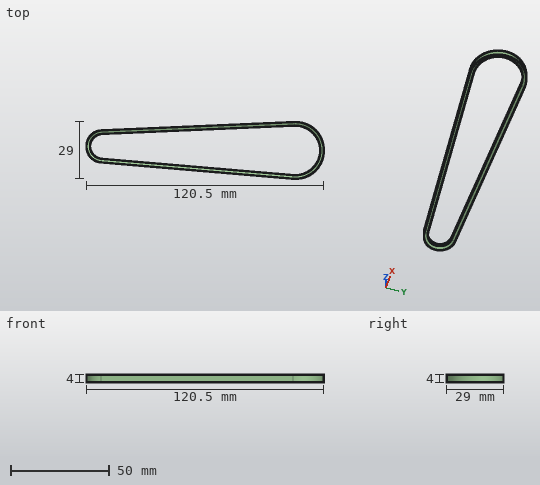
import cadquery as cq
import math

length = 120.5
height = 4.0
inner_height = 2.0
thickness = 1.9
small_radius = 8.2
large_radius = 14.5
small_offset = 2.0

small_center = (small_radius - length / 2, small_offset)
large_center = (length / 2 - large_radius, 0.0)


def point_on_circle(center, radius, angle):
    return (center[0] + radius * math.cos(angle), center[1] + radius * math.sin(angle))


def loop_outline(inset):
    """Two arcs joined by their outer tangents, moved inward by inset."""
    small = small_radius - inset
    large = large_radius - inset
    run = large_center[0] - small_center[0]
    rise = large_center[1] - small_center[1]
    axis_angle = math.atan2(rise, run)
    spread = math.acos((small - large) / math.hypot(run, rise))
    upper = axis_angle + spread
    lower = axis_angle - spread
    return (
        cq.Workplane("XY")
        .moveTo(*point_on_circle(small_center, small, upper))
        .lineTo(*point_on_circle(large_center, large, upper))
        .threePointArc(
            point_on_circle(large_center, large, axis_angle),
            point_on_circle(large_center, large, lower),
        )
        .lineTo(*point_on_circle(small_center, small, lower))
        .threePointArc(
            point_on_circle(small_center, small, axis_angle + math.pi),
            point_on_circle(small_center, small, upper),
        )
        .close()
    )


def flank_cutter():
    """Material above the sloping upper flank: full outline on top, inner outline below."""
    flank_drop = (height - inner_height) / 2
    flank_taper = math.degrees(math.atan2(thickness, flank_drop))
    return (
        loop_outline(0)
        .extrude(-flank_drop, taper=flank_taper)
        .translate((0, 0, height / 2))
    )


band = (
    loop_outline(0)
    .extrude(height / 2, both=True)
    .cut(loop_outline(thickness).extrude(height / 2, both=True))
)
upper_cutter = flank_cutter()
lower_cutter = upper_cutter.mirror("XY")
result = band.cut(upper_cutter).cut(lower_cutter)